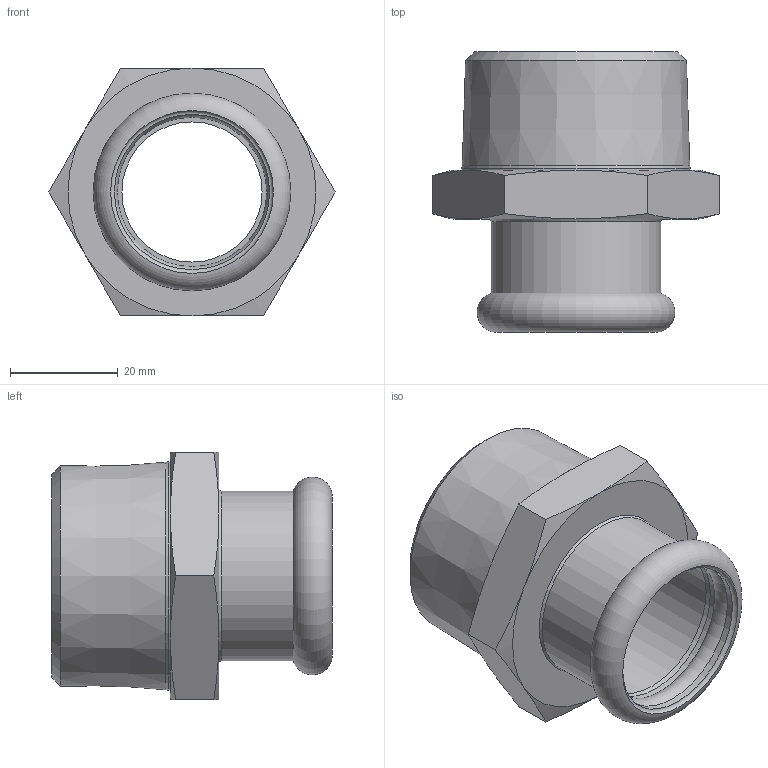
import cadquery as cq
import math

total_length = 52.0

hex_sides = 6
hex_across_flats = 46.0
hex_width = 9.0
hex_chamfer_angle = 15.0

thread_length = 22.0
thread_collar_diameter = 42.4
thread_collar_width = 0.35
thread_relief_end = 0.9
thread_base_diameter = 42.2
thread_taper = 1 / 16
thread_end_chamfer = 1.6

neck_diameter = 31.4
neck_root_diameter = 32.0
neck_root_length = 0.5
bead_diameter = 36.7
bead_width = 7.36

through_diameter = 26.0
socket_diameter = 28.4
socket_depth = 21.0
mouth_diameter = 28.8
mouth_round = 0.7
mouth_cone_start = 6.5
mouth_cone_end = 7.4
seal_inner_diameter = 27.7
seal_width = 3.3

hex_back = total_length - thread_length
hex_front = hex_back - hex_width
rim_radius = mouth_diameter / 2 + mouth_round
thread_chamfer_start = total_length - thread_end_chamfer
thread_taper_length = thread_chamfer_start - hex_back - thread_relief_end
thread_tip_diameter = thread_base_diameter - thread_taper * thread_taper_length


def revolve_about_y(profile):
    """Revolve a closed (radius, Y) profile a full turn about the Y axis."""
    return profile.close().revolve(360, (0, 0, 0), (0, 1, 0))


def make_hexagon():
    """Hexagon with two flats facing +Z and -Z, its corners cut back by a cone on both faces."""
    half_side_angle = math.pi / hex_sides
    corner_diameter = hex_across_flats / math.cos(half_side_angle)
    prism = (
        cq.Workplane("XZ", origin=(0, hex_back, 0))
        .polygon(hex_sides, corner_diameter)
        .extrude(hex_width)
    )
    flat_radius = hex_across_flats / 2
    corner_radius = corner_diameter / 2
    corner_drop = (corner_radius - flat_radius) * math.tan(math.radians(hex_chamfer_angle))
    envelope = revolve_about_y(
        cq.Workplane("XY")
        .moveTo(0, hex_front)
        .lineTo(flat_radius, hex_front)
        .lineTo(corner_radius, hex_front + corner_drop)
        .lineTo(corner_radius, hex_back - corner_drop)
        .lineTo(flat_radius, hex_back)
        .lineTo(0, hex_back)
    )
    return prism.intersect(envelope)


def make_thread_body():
    """Tapered thread envelope with a short collar at the hexagon and a 45 degree end chamfer."""
    tip_radius = thread_tip_diameter / 2
    return revolve_about_y(
        cq.Workplane("XY")
        .moveTo(0, hex_back)
        .lineTo(thread_collar_diameter / 2, hex_back)
        .lineTo(thread_collar_diameter / 2, hex_back + thread_collar_width)
        .lineTo(thread_base_diameter / 2, hex_back + thread_relief_end)
        .lineTo(tip_radius, thread_chamfer_start)
        .lineTo(tip_radius - thread_end_chamfer, total_length)
        .lineTo(0, total_length)
    )


def make_neck():
    """Plain tube outside that flares slightly where it meets the hexagon."""
    neck_radius = neck_diameter / 2
    return revolve_about_y(
        cq.Workplane("XY")
        .moveTo(0, bead_width / 2)
        .lineTo(neck_radius, bead_width / 2)
        .lineTo(neck_radius, hex_front - neck_root_length)
        .lineTo(neck_root_diameter / 2, hex_front)
        .lineTo(0, hex_front)
    )


def make_bead():
    """Solid rounded ring around the mouth; its round begins at the rim, the foremost circle."""
    return revolve_about_y(
        cq.Workplane("XY")
        .moveTo(0, 0)
        .lineTo(rim_radius, 0)
        .threePointArc((bead_diameter / 2, bead_width / 2), (rim_radius, bead_width))
        .lineTo(0, bead_width)
    )


def make_bore():
    """Stepped bore with a rounded mouth, a seal ring bulging inward and a cone down to the socket."""
    mouth_radius = mouth_diameter / 2
    socket_radius = socket_diameter / 2
    through_radius = through_diameter / 2
    seal_center = bead_width / 2
    seal_start = seal_center - seal_width / 2
    seal_end = seal_center + seal_width / 2
    return revolve_about_y(
        cq.Workplane("XY")
        .moveTo(0, 0)
        .lineTo(rim_radius, 0)
        .radiusArc((mouth_radius, mouth_round), -mouth_round)
        .lineTo(mouth_radius, seal_start)
        .threePointArc((seal_inner_diameter / 2, seal_center), (mouth_radius, seal_end))
        .lineTo(mouth_radius, mouth_cone_start)
        .lineTo(socket_radius, mouth_cone_end)
        .lineTo(socket_radius, socket_depth)
        .lineTo(through_radius, socket_depth)
        .lineTo(through_radius, total_length)
        .lineTo(0, total_length)
    )


outside = make_hexagon().union(make_thread_body()).union(make_neck()).union(make_bead())
result = outside.cut(make_bore())